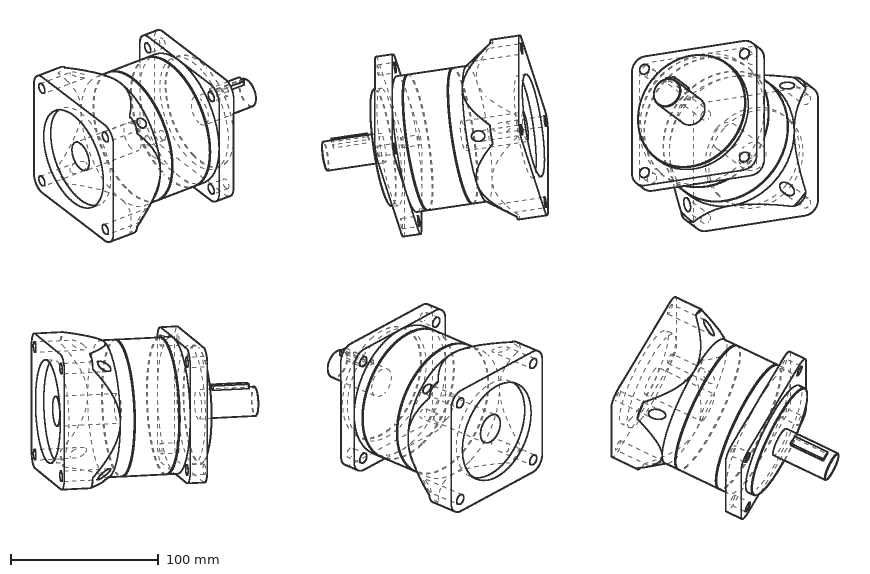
import cadquery as cq

side = 93.0
total_length = 144.5
corner_radius = 10.0
hole_pitch = 74.4
hole_diameter = 7.1

rear_plate_length = 20.0
taper_end = 39.0
taper_rear_radius = 59.7
recess_diameter = 70.1
recess_depth = 5.8
bore_diameter = 20.2

ring_start = 48.7
ring_end = 80.6
groove_width = 0.7
groove_depth = 0.1

flange_start = 87.7
flange_end = 99.7
pilot_end = 104.5
pilot_diameter = 80.3
shaft_diameter = 20.1
edge_chamfer = 0.5

key_width = 6.0
key_length = 25.0
key_end_gap = 5.0
key_top = 12.5

body_radius = side / 2


def face_plane(y):
    """XZ plane at the given Y, facing forward."""
    return cq.Workplane(cq.Plane(origin=(0, y, 0), xDir=(1, 0, 0), normal=(0, 1, 0)))


def cylinder(diameter, start, end):
    return face_plane(start).circle(diameter / 2).extrude(end - start)


def square_plate(start, end):
    plate = face_plane(start).rect(side, side).extrude(end - start)
    return plate.edges("|Y").fillet(corner_radius)


def corner_holes(start, end):
    holes = face_plane(start).rect(hole_pitch, hole_pitch, forConstruction=True).vertices()
    return holes.circle(hole_diameter / 2).extrude(end - start)


def make_input_housing():
    cone = cq.Workplane("XY").polyline([
        (0, rear_plate_length),
        (taper_rear_radius, rear_plate_length),
        (body_radius, taper_end),
        (0, taper_end),
    ]).close().revolve(360, (0, 0, 0), (0, 1, 0))
    taper = cone.intersect(square_plate(0, taper_end))
    housing = square_plate(0, rear_plate_length).union(taper)
    housing = housing.union(cylinder(side, taper_end, ring_start))
    housing = housing.cut(cylinder(recess_diameter, 0, recess_depth))
    housing = housing.cut(cylinder(bore_diameter, 0, ring_start))
    return housing.cut(corner_holes(0, taper_end))


def make_gear_ring():
    groove_diameter = side - 2 * groove_depth
    core = cylinder(groove_diameter, ring_start, ring_end)
    return core.union(cylinder(side, ring_start + groove_width, ring_end - groove_width))


def make_key():
    key_end = total_length - key_end_gap
    key = cq.Workplane("XY").rect(key_width, key_length).extrude(key_top)
    return key.translate((0, key_end - key_length / 2, 0))


def make_output_housing():
    collar = cylinder(side, ring_end, flange_start)
    flange = square_plate(flange_start, flange_end).cut(corner_holes(flange_start, flange_end))
    pilot = cylinder(pilot_diameter, flange_end, pilot_end).faces(">Y").chamfer(edge_chamfer)
    shaft = cylinder(shaft_diameter, pilot_end, total_length).faces(">Y").chamfer(edge_chamfer)
    return collar.union(flange).union(pilot).union(shaft).union(make_key())


input_housing = make_input_housing()
gear_ring = make_gear_ring()
output_housing = make_output_housing()

result = cq.Compound.makeCompound([
    input_housing.val(),
    gear_ring.val(),
    output_housing.val(),
])